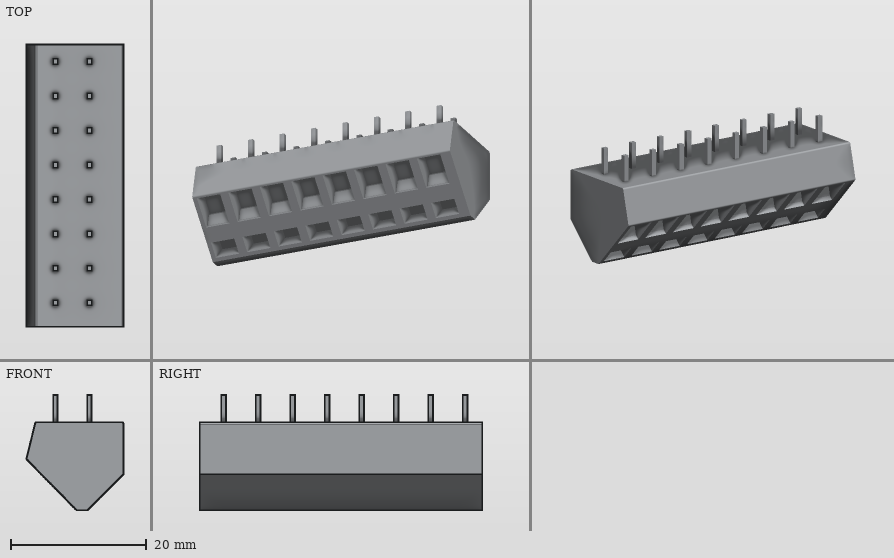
import cadquery as cq
import math

length = 41.65
width = 14.32
housing_height = 13.0
tip_z = 7.55
top_left_x = 1.35
bottom_left_x = 7.4
bottom_right_x = 9.05
right_wall_z = width - bottom_right_x
edge_radius = 0.3

pole_count = 8
pole_pitch = 5.1
first_pole_inset = 2.55
pole_centers = [length - first_pole_inset - i * pole_pitch for i in range(pole_count)]

pin_x_size = 0.65
pin_y_size = 0.75
pin_length = 4.0
pin_root = 0.4
pin_rows = 2
pin_row_x = 4.3
pin_row_pitch = 5.0

opening_width = 3.75
button_top_z = 7.3
button_bottom_z = 3.9
button_floor_depth = 2.87
button_front_depth = 0.75
button_face_height = 1.87
wire_top_z = 2.15
wire_bottom_z = 0.4
wire_depth = 3.35

slope_angle = math.atan2(tip_z, bottom_left_x)
outside_clearance = 0.4


def slope_point(z, depth):
    """Point at a given depth, square to the slope, from the slope's point at height z."""
    x = (tip_z - z) / math.tan(slope_angle)
    return (x + depth * math.sin(slope_angle), z + depth * math.cos(slope_angle))


def make_housing():
    outline = [
        (0, tip_z),
        (top_left_x, housing_height),
        (width, housing_height),
        (width, right_wall_z),
        (bottom_right_x, 0),
        (bottom_left_x, 0),
    ]
    body = cq.Workplane("XZ").polyline(outline).close().extrude(-length)
    rounded_corners = outline[:3]
    for x, z in rounded_corners:
        edge = cq.selectors.NearestToPointSelector((x, length / 2, z))
        body = body.edges("|Y").edges(edge).fillet(edge_radius)
    return body


def opening_cutter(profile, center_y):
    """Solid with an XZ profile, one opening wide, centred on a pole."""
    start = center_y - opening_width / 2
    plane = cq.Workplane("XZ", origin=(0, start, 0))
    return plane.polyline(profile).close().extrude(-opening_width)


def wire_profile():
    return [
        slope_point(wire_top_z, -outside_clearance),
        slope_point(wire_top_z, wire_depth),
        slope_point(wire_bottom_z, wire_depth),
        slope_point(wire_bottom_z, -outside_clearance),
    ]


def button_profile():
    """Pocket holding a release button whose outer face is parallel to the upper -X wall."""
    face_bottom_x, face_bottom_z = slope_point(button_bottom_z, button_front_depth)
    wall_lean = top_left_x / (housing_height - tip_z)
    face_lean = button_face_height * wall_lean
    face_top_x = face_bottom_x + face_lean
    face_top_z = face_bottom_z + button_face_height
    face_rise = face_lean * math.sin(slope_angle) + button_face_height * math.cos(slope_angle)
    side_length = button_floor_depth - button_front_depth - face_rise
    floor_x = face_top_x + side_length * math.sin(slope_angle)
    floor_z = face_top_z + side_length * math.cos(slope_angle)
    return [
        slope_point(button_bottom_z, -outside_clearance),
        (face_bottom_x, face_bottom_z),
        (face_top_x, face_top_z),
        (floor_x, floor_z),
        slope_point(button_top_z, button_floor_depth),
        slope_point(button_top_z, -outside_clearance),
    ]


def make_pin(x, y):
    base = cq.Workplane("XY", origin=(x, y, housing_height - pin_root))
    return base.rect(pin_x_size, pin_y_size).extrude(pin_root + pin_length)


result = make_housing()
for pole_y in pole_centers:
    result = result.cut(opening_cutter(button_profile(), pole_y))
    result = result.cut(opening_cutter(wire_profile(), pole_y))
    for row in range(pin_rows):
        result = result.union(make_pin(pin_row_x + row * pin_row_pitch, pole_y))